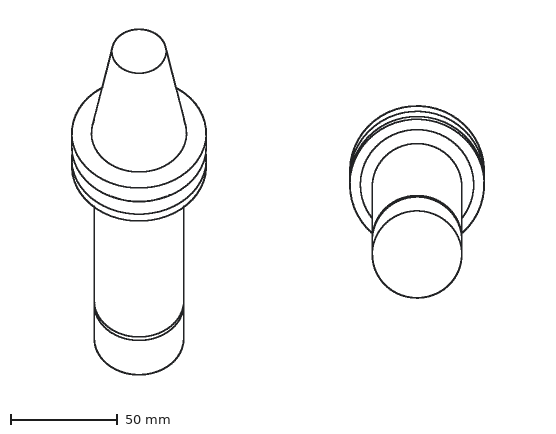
import cadquery as cq

total_height = 230.5
body_diameter = 42.0
nut_height = 27.6

neck_diameter = 33.5
neck_height = 2.8

flange_diameter = 63.0
groove_diameter = 53.0
shoulder_diameter = 53.0
shoulder_bottom = 133.2
flange_bottom = 138.0
lower_rim_height = 5.5
groove_flank_height = 3.0
groove_floor_height = 4.1
flange_top = 164.5

taper_length = 65.5
taper_large_diameter = 44.5
taper_ratio = 7 / 24

shank_bottom = nut_height + neck_height
groove_bottom = flange_bottom + lower_rim_height
groove_floor_bottom = groove_bottom + groove_flank_height
groove_floor_top = groove_floor_bottom + groove_floor_height
groove_top = groove_floor_top + groove_flank_height
taper_bottom = total_height - taper_length
taper_small_diameter = taper_large_diameter - taper_length * taper_ratio


def make_nut():
    """Plain round clamping nut, seated against the end of the neck."""
    return cq.Workplane("XY").circle(body_diameter / 2).extrude(nut_height)


def make_holder():
    """Neck, shank, grooved flange and taper, revolved about Z."""
    corners = [
        (neck_diameter, nut_height),
        (neck_diameter, shank_bottom),
        (body_diameter, shank_bottom),
        (body_diameter, shoulder_bottom),
        (shoulder_diameter, flange_bottom),
        (flange_diameter, flange_bottom),
        (flange_diameter, groove_bottom),
        (groove_diameter, groove_floor_bottom),
        (groove_diameter, groove_floor_top),
        (flange_diameter, groove_top),
        (flange_diameter, flange_top),
        (taper_large_diameter, flange_top),
        (taper_large_diameter, taper_bottom),
        (taper_small_diameter, total_height),
    ]
    profile = cq.Workplane("XZ").moveTo(0, nut_height)
    for diameter, height in corners:
        profile = profile.lineTo(diameter / 2, height)
    profile = profile.lineTo(0, total_height).close()
    return profile.revolve(360, (0, 0, 0), (0, 1, 0))


nut = make_nut()
holder = make_holder()

result = cq.Compound.makeCompound([holder.val(), nut.val()])